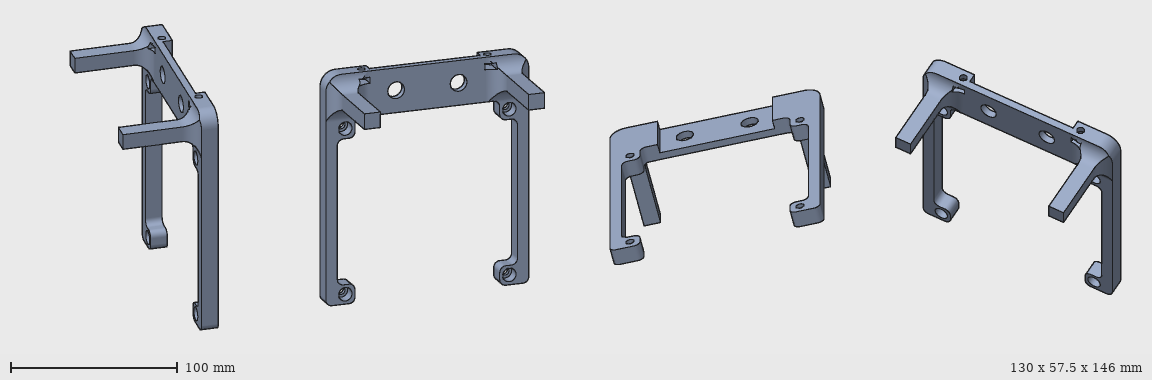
import cadquery as cq
import math

width = 130.0
height = 146.0
thickness = 10.5
rail_width = 7.3
top_corner_radius = 10.0
small_radius = 4.0

lug_reach = 18.7
lower_lug_top = 12.4
upper_lug_bottom = 104.8
mount_spacing = 105.0
lower_mount_z = 6.3
mount_diameter = 5.0
counterbore_diameter = 8.5
counterbore_depth = 7.6

crossbar_height = 28.5
crossbar_thickness = 4.7
recess_width = 71.0
cable_hole_spacing = 40.0
cable_hole_diameter = 10.5

arm_width = 10.2
arm_height = 10.0
arm_inset = 7.3
flare_radius = top_corner_radius
total_depth = 57.5

trap_inset = 24.7
trap_width = 7.2
trap_height = 3.8
trap_depth_from_top = 4.1
screw_diameter = 4.5
screw_from_rear = thickness / 2

half_width = width / 2
lug_edge = half_width - lug_reach
rail_edge = half_width - rail_width
crossbar_bottom = height - crossbar_height
arm_outer = half_width - arm_inset
arm_inner = arm_outer - arm_width
arm_top = height - flare_radius
arm_bottom = arm_top - arm_height
arm_tip = thickness - total_depth
trap_x = half_width - trap_inset
trap_y = thickness - screw_from_rear
trap_top = height - trap_depth_from_top
trap_bottom = trap_top - trap_height


def box(x_range, y_range, z_range):
    """Box spanning the given (low, high) ranges."""
    ranges = (x_range, y_range, z_range)
    size = [high - low for low, high in ranges]
    corner = tuple(low for low, high in ranges)
    return cq.Workplane("XY").box(*size, centered=False).translate(corner)


def mirrored(shape):
    """The shape together with its mirror image on the other side of X = 0."""
    return shape.union(shape.mirror("YZ"))


def cylinder_along_y(x, z, diameter, y_start, y_end):
    plane = cq.Workplane("XZ", origin=(x, y_start, z))
    return plane.circle(diameter / 2).extrude(y_start - y_end)


def frame_block(y_range):
    """The frame's front outline with its opening, filled solid over a Y range."""
    block = box((-half_width, half_width), y_range, (0, height))
    block = block.edges("|Y and >Z").fillet(top_corner_radius)
    between_lugs = box((-lug_edge, lug_edge), y_range, (0, crossbar_bottom))
    between_rails = box((-rail_edge, rail_edge), y_range, (lower_lug_top, upper_lug_bottom))
    block = block.cut(between_lugs).cut(between_rails)
    y_low, y_high = y_range
    below_crossbar = cq.selectors.BoxSelector(
        (-width, y_low, -small_radius), (width, y_high, crossbar_bottom + small_radius)
    )
    return block.edges("|Y").edges(below_crossbar).fillet(small_radius)


def arm_flare():
    """Concave flare on all four sides of the +X arm's root, with mitred corners."""
    quarter_rise = flare_radius * (1 - math.sqrt(0.5))
    outer_center_x = arm_outer + flare_radius
    outer_center_y = -math.sqrt(flare_radius**2 - (flare_radius - arm_inset) ** 2)
    half_sweep = math.asin(-outer_center_y / flare_radius) / 2
    outer_middle = (
        outer_center_x - flare_radius * math.cos(half_sweep),
        outer_center_y + flare_radius * math.sin(half_sweep),
    )
    plan = (
        cq.Workplane("XY")
        .moveTo(arm_inner - flare_radius, 0)
        .threePointArc((arm_inner - quarter_rise, -quarter_rise), (arm_inner, -flare_radius))
        .lineTo(arm_outer, -flare_radius)
        .lineTo(arm_outer, outer_center_y)
        .threePointArc(outer_middle, (half_width, 0))
        .close()
        .extrude(height)
    )
    side = (
        cq.Workplane("YZ")
        .moveTo(0, arm_bottom - flare_radius)
        .threePointArc((-quarter_rise, arm_bottom - quarter_rise), (-flare_radius, arm_bottom))
        .lineTo(-flare_radius, arm_top)
        .threePointArc((-quarter_rise, arm_top + quarter_rise), (0, height))
        .close()
        .extrude(half_width)
    )
    return plan.intersect(side).intersect(frame_block((-flare_radius, 0)))


def arm():
    return box((arm_inner, arm_outer), (arm_tip, 0), (arm_bottom, arm_top)).union(arm_flare())


def mount_hole(z):
    """Through hole counterbored from the front."""
    x = mount_spacing / 2
    hole = cylinder_along_y(x, z, mount_diameter, 0, thickness)
    counterbore = cylinder_along_y(x, z, counterbore_diameter, 0, counterbore_depth)
    return hole.union(counterbore)


def nut_trap():
    """Hexagonal pocket open to the front, reached by a screw hole from the top."""
    hexagon_diameter = trap_width / math.cos(math.pi / 6)
    hexagon = (
        cq.Workplane("XY", origin=(trap_x, trap_y, trap_bottom))
        .transformed(rotate=(0, 0, 90))
        .polygon(6, hexagon_diameter)
        .extrude(trap_height)
    )
    half_trap = trap_width / 2
    slot = box((trap_x - half_trap, trap_x + half_trap), (-flare_radius, trap_y), (trap_bottom, trap_top))
    screw = (
        cq.Workplane("XY", origin=(trap_x, trap_y, trap_bottom))
        .circle(screw_diameter / 2)
        .extrude(height - trap_bottom)
    )
    return hexagon.union(slot).union(screw)


result = frame_block((0, thickness)).union(mirrored(arm()))

result = result.cut(
    box((-recess_width / 2, recess_width / 2), (crossbar_thickness, thickness), (crossbar_bottom, height))
)

cable_hole_z = height - crossbar_height / 2
result = result.cut(
    mirrored(cylinder_along_y(cable_hole_spacing / 2, cable_hole_z, cable_hole_diameter, 0, thickness))
)

for mount_z in (lower_mount_z, lower_mount_z + mount_spacing):
    result = result.cut(mirrored(mount_hole(mount_z)))

result = result.cut(mirrored(nut_trap()))